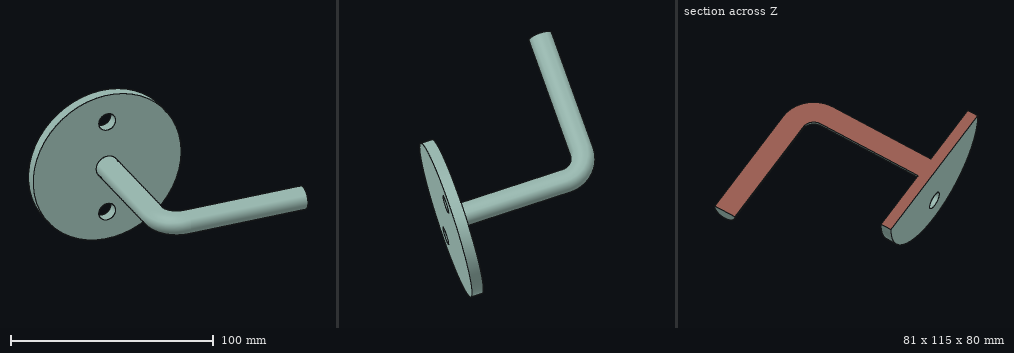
import cadquery as cq

plate_diameter = 80.0
plate_thickness = 6.0
hole_diameter = 9.0
hole_spacing = 50.0

overall_x = 81.0
overall_y = 115.0
rod_diameter = 12.0
bend_radius = 12.0

arm_x = overall_x - rod_diameter / 2
arm_end_y = overall_y - plate_diameter / 2


def make_plate():
    """Disc with two screw holes, one above the other."""
    disc = cq.Workplane("YZ").circle(plate_diameter / 2).extrude(plate_thickness)
    holes = (
        cq.Workplane("YZ")
        .pushPoints([(0, hole_spacing / 2), (0, -hole_spacing / 2)])
        .circle(hole_diameter / 2)
        .extrude(plate_thickness)
    )
    return disc.cut(holes)


def make_rod():
    """Round bar swept along a straight, a quarter bend and a second straight."""
    path = (
        cq.Workplane("XY")
        .moveTo(plate_thickness, 0)
        .lineTo(arm_x - bend_radius, 0)
        .tangentArcPoint((arm_x, bend_radius), relative=False)
        .lineTo(arm_x, arm_end_y)
    )
    return cq.Workplane("YZ", origin=(plate_thickness, 0, 0)).circle(rod_diameter / 2).sweep(path)


result = make_plate().union(make_rod())